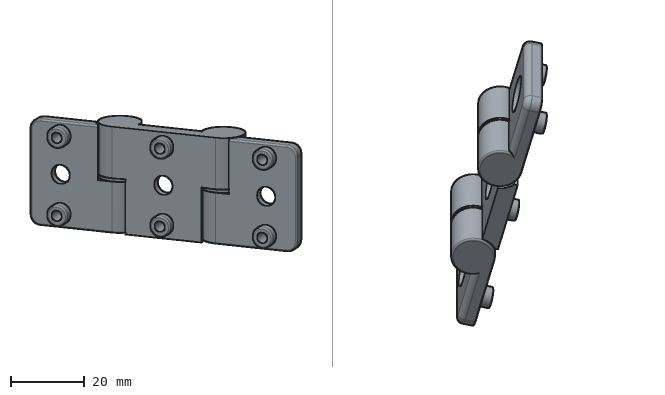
import cadquery as cq

LENGTH = 78.5
HEIGHT = 30.0
OVERALL_DEPTH = 14.8
THICKNESS = 5.0
CORNER_RADIUS = 3.0
BACK_FILLET = 2.0
EDGE_FILLET = 0.5

KNUCKLE_DIAMETER = 12.0
KNUCKLE_RADIUS = KNUCKLE_DIAMETER / 2
AXIS_X = 15.2
AXIS_Y = KNUCKLE_RADIUS
WASHER_THICKNESS = 0.8
KNUCKLE_GAP = 1.0
KNUCKLE_END = KNUCKLE_GAP / 2

RECESS_CLEARANCE = 0.5
RECESS_RADIUS = KNUCKLE_RADIUS + RECESS_CLEARANCE
RECESS_HALF_MOUTH = 4.1

HOLE_X = 30.2
SCREW_HOLE_DIAMETER = 5.3
COUNTERSINK_DEPTH = 2.35
STUD_Z = 11.0
STUD_DIAMETER = 6.0
STUD_TIP_DIAMETER = 5.0
STUD_TIP_FILLET = (STUD_DIAMETER - STUD_TIP_DIAMETER) / 2
STUD_BORE_DIAMETER = 3.0
STUD_BORE_DEPTH = 6.0
SIDE_STUD_HEIGHT = OVERALL_DEPTH - KNUCKLE_DIAMETER
MIDDLE_STUD_HEIGHT = 2.6


def box(x_min, x_max, y_min, y_max, z_min, z_max):
    """Block between the given limits."""
    block = cq.Workplane("XY").box(x_max - x_min, y_max - y_min, z_max - z_min, centered=False)
    return block.translate((x_min, y_min, z_min))


def upright_cylinder(x, y, radius, z_min, z_max):
    """Cylinder along Z."""
    return cq.Workplane("XY", origin=(x, y, z_min)).circle(radius).extrude(z_max - z_min)


def mounting_cylinder(x, z, diameter, y_min, y_max):
    """Cylinder along Y."""
    return cq.Workplane("XZ", origin=(x, y_min, z)).circle(diameter / 2).extrude(y_min - y_max)


def knuckle_recess(axis_x, z_min, z_max):
    """Space for a neighbouring knuckle: a cylinder with a straight mouth to the mounting face."""
    mouth = box(axis_x - RECESS_HALF_MOUTH, axis_x + RECESS_HALF_MOUTH, 0, AXIS_Y, z_min, z_max)
    return upright_cylinder(axis_x, AXIS_Y, RECESS_RADIUS, z_min, z_max).union(mouth)


def screw_hole(x):
    """Through hole with a 90 degree countersink on the back."""
    rim_radius = SCREW_HOLE_DIAMETER / 2 + COUNTERSINK_DEPTH
    countersink = cq.Solid.makeCone(
        rim_radius, SCREW_HOLE_DIAMETER / 2, COUNTERSINK_DEPTH, cq.Vector(x, THICKNESS, 0), cq.Vector(0, -1, 0)
    )
    return mounting_cylinder(x, 0, SCREW_HOLE_DIAMETER, 0, THICKNESS).union(cq.Workplane(countersink))


def add_mounting(leaf, x, stud_height):
    """Add two bored studs and a screw hole to a leaf at the given X."""
    for z in (-STUD_Z, STUD_Z):
        stud = mounting_cylinder(x, z, STUD_DIAMETER, -stud_height, THICKNESS / 2)
        stud = stud.faces("<Y").edges().fillet(STUD_TIP_FILLET)
        bore = mounting_cylinder(x, z, STUD_BORE_DIAMETER, -stud_height, STUD_BORE_DEPTH - stud_height)
        leaf = leaf.union(stud).cut(bore)
    return leaf.cut(screw_hole(x))


def make_left_leaf():
    """Outer leaf with rounded outer corners and a knuckle on its lower half."""
    plate = box(-LENGTH / 2, -AXIS_X, 0, THICKNESS, -HEIGHT / 2, HEIGHT / 2)
    plate = plate.edges("|Y and <X").fillet(CORNER_RADIUS)
    plate = plate.faces(">Y").edges("not(>X)").fillet(BACK_FILLET)
    plate = plate.faces("<Y").edges("not(>X)").fillet(EDGE_FILLET)

    knuckle = upright_cylinder(-AXIS_X, AXIS_Y, KNUCKLE_RADIUS, -HEIGHT / 2, -KNUCKLE_END)
    knuckle = knuckle.faces("<Z").edges().fillet(EDGE_FILLET)
    leaf = plate.cut(knuckle_recess(-AXIS_X, -KNUCKLE_END, HEIGHT / 2)).union(knuckle)
    return add_mounting(leaf, -HOLE_X, SIDE_STUD_HEIGHT)


def make_middle_leaf():
    """Middle leaf with a knuckle at each end of its upper half."""
    leaf = box(-AXIS_X, AXIS_X, 0, THICKNESS, -HEIGHT / 2, HEIGHT / 2)
    for axis_x in (-AXIS_X, AXIS_X):
        leaf = leaf.cut(knuckle_recess(axis_x, -HEIGHT / 2, KNUCKLE_END))
        leaf = leaf.union(upright_cylinder(axis_x, AXIS_Y, KNUCKLE_RADIUS, KNUCKLE_END, HEIGHT / 2))
    return add_mounting(leaf, 0, MIDDLE_STUD_HEIGHT)


def make_washer(axis_x):
    """Disc between the two knuckles on one hinge axis."""
    return upright_cylinder(axis_x, AXIS_Y, KNUCKLE_RADIUS, -WASHER_THICKNESS / 2, WASHER_THICKNESS / 2)


left_leaf = make_left_leaf()
right_leaf = left_leaf.mirror("YZ")
middle_leaf = make_middle_leaf()
washers = [make_washer(axis_x) for axis_x in (-AXIS_X, AXIS_X)]

result = cq.Compound.makeCompound(
    [left_leaf.val(), right_leaf.val(), middle_leaf.val(), *[washer.val() for washer in washers]]
)